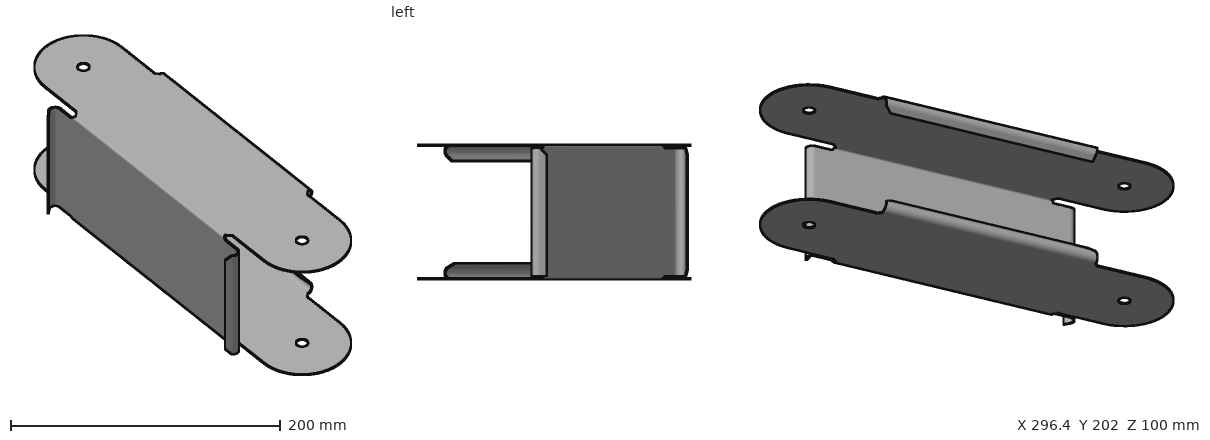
import cadquery as cq
import math

TILT = -30.0
HEIGHT = 100.0
SHEET = 1.0
HOLE_SPACING = 258.0
END_RADIUS = 36.5
HOLE_DIAMETER = 9.0

WEB_BEND_RADIUS = 2.3
WEB_BEND_START = 40.3
WEB_BEND_HALF_LENGTH = 88.3
WEB_HALF_LENGTH = 104.5
WEB_END_HEIGHT = 95.0

FLANGE_START = 39.0
FLANGE_HALF_LENGTH = 87.3
FLANGE_END_TAPER = 0.2

HOOK_RADIUS = 5.2
HOOK_ANGLE = math.radians(135.0)
LIP_LENGTH = 5.0

BOTH_ENDS = (1, -1)
POSITIVE_END = (1,)

web_face = WEB_BEND_START + WEB_BEND_RADIUS
half_spacing = HOLE_SPACING / 2
half_height = HEIGHT / 2
lip_direction = (math.cos(HOOK_ANGLE), -math.sin(HOOK_ANGLE))
lip_normal = (math.sin(HOOK_ANGLE), math.cos(HOOK_ANGLE))


def point_on_curl(radius, angle):
    """Point of the curl after turning by angle, in the hook's own frame."""
    return (radius * math.sin(angle), radius * math.cos(angle) - HOOK_RADIUS)


def make_hook(length, cut_ends, end_taper=0.0):
    """Hook that leaves the origin along +X, curls towards -Y and runs along Z.

    The outer face of the sheet it continues lies on Y = 0. Its ends draw in
    by end_taper per unit of depth, and the lip corners at cut_ends are cut.
    """
    inner_radius = HOOK_RADIUS - SHEET
    outer_tangent = point_on_curl(HOOK_RADIUS, HOOK_ANGLE)
    inner_tangent = point_on_curl(inner_radius, HOOK_ANGLE)

    def lip_end(start):
        return (start[0] + LIP_LENGTH * lip_direction[0], start[1] + LIP_LENGTH * lip_direction[1])

    hook = (
        cq.Workplane("XY")
        .moveTo(0, 0)
        .threePointArc(point_on_curl(HOOK_RADIUS, HOOK_ANGLE / 2), outer_tangent)
        .lineTo(*lip_end(outer_tangent))
        .lineTo(*lip_end(inner_tangent))
        .lineTo(*inner_tangent)
        .threePointArc(point_on_curl(inner_radius, HOOK_ANGLE / 2), (0, -SHEET))
        .close()
        .extrude(length / 2, both=True)
    )
    if end_taper:
        hook = hook.intersect(make_end_trim(length / 2, end_taper))
    return hook.cut(make_lip_corner_cuts(outer_tangent, length / 2, end_taper, cut_ends))


def make_end_trim(half_length, end_taper):
    """Block narrowing with depth, which trims both ends of a hook to a slant."""
    depth = 2 * HOOK_RADIUS + LIP_LENGTH
    narrow = half_length - end_taper * depth
    return (
        cq.Workplane("YZ")
        .polyline([(0, half_length), (-depth, narrow), (-depth, -narrow), (0, -half_length)])
        .close()
        .extrude(depth, both=True)
    )


def make_lip_corner_cuts(outer_tangent, half_length, end_taper, ends):
    """Wedges that cut lip corners at 45 degrees, from the curl to the lip edge."""
    lip_plane = cq.Plane(
        origin=(*outer_tangent, 0),
        xDir=(*lip_direction, 0),
        normal=(-lip_normal[0], -lip_normal[1], 0),
    )
    lip_half_length = half_length + end_taper * outer_tangent[1]
    cuts = cq.Workplane(lip_plane)
    for end in ends:
        cuts = (
            cuts.moveTo(0, end * lip_half_length)
            .lineTo(LIP_LENGTH, end * lip_half_length)
            .lineTo(LIP_LENGTH, end * (lip_half_length - LIP_LENGTH))
            .close()
        )
    return cuts.extrude(2 * SHEET, both=True)


def make_plate():
    """Upper plate: rounded ends, two holes and widened stretches that reach both bends."""
    flange_relief = FLANGE_START - END_RADIUS
    web_relief = WEB_BEND_START - END_RADIUS
    bottom = half_height - SHEET
    body = (
        cq.Workplane("XY", origin=(0, 0, bottom))
        .slot2D(HOLE_SPACING + 2 * END_RADIUS, 2 * END_RADIUS)
        .extrude(SHEET)
    )
    middle = (
        cq.Workplane("XY", origin=(0, 0, bottom))
        .polyline([
            (-FLANGE_HALF_LENGTH, FLANGE_START),
            (FLANGE_HALF_LENGTH, FLANGE_START),
            (FLANGE_HALF_LENGTH + flange_relief, END_RADIUS),
            (WEB_BEND_HALF_LENGTH + web_relief, -END_RADIUS),
            (WEB_BEND_HALF_LENGTH, -WEB_BEND_START),
            (-WEB_BEND_HALF_LENGTH, -WEB_BEND_START),
            (-WEB_BEND_HALF_LENGTH - web_relief, -END_RADIUS),
            (-FLANGE_HALF_LENGTH - flange_relief, END_RADIUS),
        ])
        .close()
        .extrude(SHEET)
    )
    holes = (
        cq.Workplane("XY", origin=(0, 0, bottom))
        .pushPoints([(-half_spacing, 0), (half_spacing, 0)])
        .circle(HOLE_DIAMETER / 2)
        .extrude(SHEET)
    )
    return body.union(middle).cut(holes)


def make_flange(cut_ends):
    """Hooked flange along the +Y edge of the upper plate."""
    hook = make_hook(2 * FLANGE_HALF_LENGTH, cut_ends, FLANGE_END_TAPER)
    along_plate_edge = hook.rotate((0, 0, 0), (1, 1, 1), 120)
    return along_plate_edge.translate((0, FLANGE_START, half_height))


def make_web_bend():
    """Quarter bend joining the upper plate to the web, before its ends are trimmed."""
    centre_z = half_height - WEB_BEND_RADIUS
    middle = WEB_BEND_RADIUS / math.sqrt(2)
    inner_radius = WEB_BEND_RADIUS - SHEET
    inner_middle = inner_radius / math.sqrt(2)
    return (
        cq.Workplane("YZ", origin=(0, -WEB_BEND_START, centre_z))
        .moveTo(0, WEB_BEND_RADIUS)
        .threePointArc((-middle, middle), (-WEB_BEND_RADIUS, 0))
        .lineTo(-inner_radius, 0)
        .threePointArc((-inner_middle, inner_middle), (0, inner_radius))
        .close()
        .extrude(WEB_HALF_LENGTH, both=True)
    )


def make_web():
    """Web with its two bends, 45 degree reliefs beyond the bends and hooked ends."""
    shoulder_z = WEB_END_HEIGHT / 2
    shoulder_x = WEB_BEND_HALF_LENGTH + half_height - shoulder_z
    bend = make_web_bend()
    flat = (
        cq.Workplane("XY")
        .box(2 * WEB_HALF_LENGTH, SHEET, HEIGHT - 2 * WEB_BEND_RADIUS, centered=(True, False, True))
        .translate((0, -web_face, 0))
    )
    outline = (
        cq.Workplane("XZ")
        .polyline([
            (-WEB_BEND_HALF_LENGTH, half_height),
            (WEB_BEND_HALF_LENGTH, half_height),
            (shoulder_x, shoulder_z),
            (WEB_HALF_LENGTH, shoulder_z),
            (WEB_HALF_LENGTH, -shoulder_z),
            (shoulder_x, -shoulder_z),
            (WEB_BEND_HALF_LENGTH, -half_height),
            (-WEB_BEND_HALF_LENGTH, -half_height),
            (-shoulder_x, -shoulder_z),
            (-WEB_HALF_LENGTH, -shoulder_z),
            (-WEB_HALF_LENGTH, shoulder_z),
            (-shoulder_x, shoulder_z),
        ])
        .close()
        .extrude(web_face)
    )
    web = flat.union(bend).union(bend.mirror("XY")).intersect(outline)
    inner_face = SHEET - web_face
    right_hook = make_hook(WEB_END_HEIGHT, BOTH_ENDS)
    left_hook = make_hook(WEB_END_HEIGHT, POSITIVE_END).mirror("YZ")
    web = web.union(right_hook.translate((WEB_HALF_LENGTH, inner_face, 0)))
    return web.union(left_hook.translate((-WEB_HALF_LENGTH, inner_face, 0)))


plate = make_plate()
upper = plate.union(make_flange(POSITIVE_END))
lower = plate.union(make_flange(BOTH_ENDS)).mirror("XY")
part = make_web().union(upper).union(lower)
result = part.rotate((0, 0, 0), (0, 0, 1), TILT)